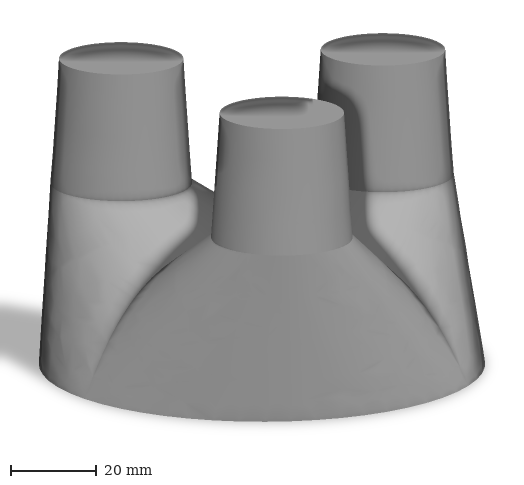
import cadquery as cq

base_radius = 52.0
body_height = 40.0
branch_height = 30.0
branch_bottom_radius = 16.5
branch_top_radius = 14.5
branch_count = 3
first_branch_angle = 90.0

branch_offset = base_radius - branch_bottom_radius


def circle_loft(lower_z, lower_radius, lower_x, upper_z, upper_radius, upper_x):
    """Straight-sided solid between two horizontal circles centred on the XZ plane."""
    return (
        cq.Workplane("XY", origin=(lower_x, 0, lower_z))
        .circle(lower_radius)
        .workplane(offset=upper_z - lower_z)
        .center(upper_x - lower_x, 0)
        .circle(upper_radius)
        .loft(ruled=True)
    )


def make_leg():
    """Oblique cone leaning from the full base circle to the foot of one branch."""
    return circle_loft(0, base_radius, 0, body_height, branch_bottom_radius, branch_offset)


def make_branch():
    """Upright tapered peg standing on top of a leg."""
    total_height = body_height + branch_height
    return circle_loft(
        body_height, branch_bottom_radius, branch_offset,
        total_height, branch_top_radius, branch_offset,
    )


arm = make_leg().union(make_branch())

result = cq.Workplane("XY")
for index in range(branch_count):
    angle = first_branch_angle + index * 360.0 / branch_count
    result = result.union(arm.rotate((0, 0, 0), (0, 0, 1), angle))